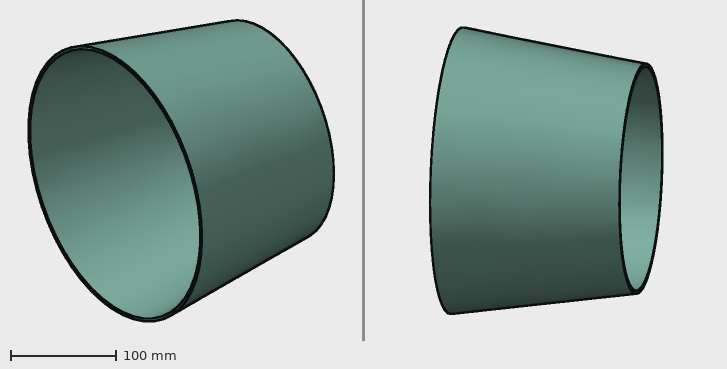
import cadquery as cq

large_diameter = 273.0
small_diameter = 219.1
wall = 3.0
length = 178.0

large_radius = large_diameter / 2
small_radius = small_diameter / 2


def make_reducer():
    """Revolve the sloping wall section about the Y axis."""
    wall_section = [
        (large_radius - wall, 0),
        (large_radius, 0),
        (small_radius, length),
        (small_radius - wall, length),
    ]
    return (
        cq.Workplane("XY")
        .polyline(wall_section)
        .close()
        .revolve(360, (0, 0, 0), (0, 1, 0))
    )


result = make_reducer()